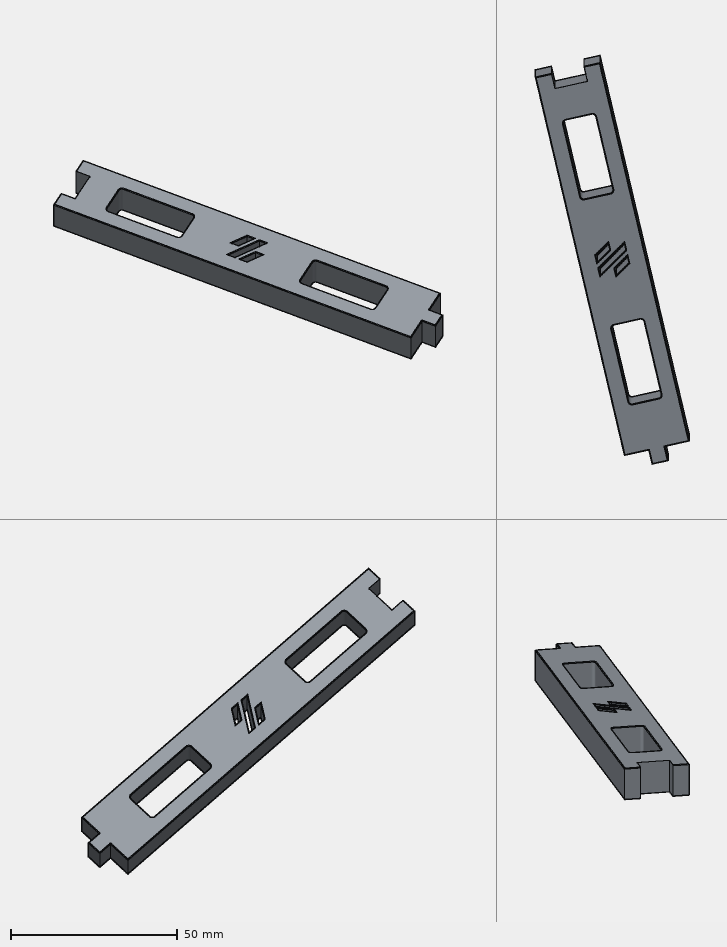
import cadquery as cq

body_length = 120.0
body_width = 20.0
thickness = 10.0
edge_chamfer = 0.25

tab_length = 4.5
tab_width = 5.0
notch_depth = 4.75
notch_width = 10.0

window_length = 25.0
window_width = 10.0
window_corner_radius = 1.0
window_offset = 32.5

slot_width = 2.2
slot_lean = 0.635
long_slot_height = 9.2
short_slot_height = 4.5
slot_pitch = 4.1


def with_flared_rims(opening):
    """Widen an upright cutter by 45 degree flares at its two ends."""
    outline = opening.faces("<Z").wires().val()
    wide_outline = outline.offset2D(edge_chamfer, "intersection")[0]
    inner_outline = outline.translate(cq.Vector(0, 0, edge_chamfer))
    lower_flare = cq.Solid.makeLoft([wide_outline, inner_outline], True)
    upper_flare = lower_flare.mirror("XY", cq.Vector(0, 0, thickness / 2))
    return opening.union(cq.Workplane(lower_flare)).union(cq.Workplane(upper_flare))


def rounded_window(center_x):
    """Through cutter with rounded corners and a chamfered rim on both faces."""
    opening = (
        cq.Workplane("XY")
        .center(center_x, 0)
        .rect(window_length, window_width)
        .extrude(thickness)
        .edges("|Z")
        .fillet(window_corner_radius)
    )
    return with_flared_rims(opening)


def slanted_slot(center_x, bottom_y, top_y):
    """Through cutter on a leaning line that crosses Y = 0 at center_x."""
    bottom_x = center_x + slot_lean * bottom_y
    top_x = center_x + slot_lean * top_y
    half_width = slot_width / 2
    opening = (
        cq.Workplane("XY")
        .moveTo(bottom_x - half_width, bottom_y)
        .lineTo(bottom_x + half_width, bottom_y)
        .lineTo(top_x + half_width, top_y)
        .lineTo(top_x - half_width, top_y)
        .close()
        .extrude(thickness)
    )
    return with_flared_rims(opening)


def bar_with_tab():
    """Bar and end tab, chamfered around the top and bottom outlines."""
    body = cq.Workplane("XY").box(body_length, body_width, thickness, centered=(True, True, False))
    tab = (
        cq.Workplane("XY")
        .center(body_length / 2, 0)
        .box(tab_length, tab_width, thickness, centered=(False, True, False))
    )
    return body.union(tab).faces("<Z or >Z").edges().chamfer(edge_chamfer)


def end_notch():
    """Rectangular through cutter for the -X end."""
    return (
        cq.Workplane("XY")
        .center(-body_length / 2, 0)
        .box(notch_depth, notch_width, thickness, centered=(False, True, False))
    )


result = bar_with_tab().cut(end_notch())

for side in (-1, 1):
    result = result.cut(rounded_window(side * window_offset))

half_height = long_slot_height / 2
result = result.cut(slanted_slot(0, -half_height, half_height))
result = result.cut(slanted_slot(-slot_pitch, half_height - short_slot_height, half_height))
result = result.cut(slanted_slot(slot_pitch, -half_height, short_slot_height - half_height))